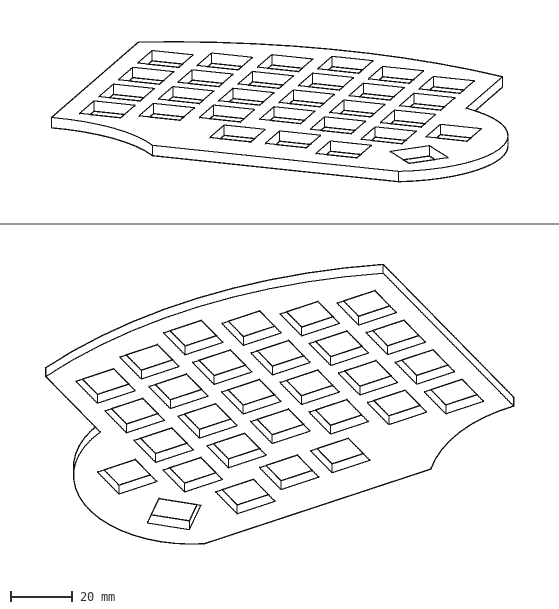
import cadquery as cq
import math

thickness = 3.5
total_width = 147.9
edge_margin = 14.2

key_size = 14.0
column_count = 6
row_count = 4
column_span = 95.0
pitch = column_span / (column_count - 1)
first_row_y = 31.5
small_step = 3.8
large_step = 4.7
column_shifts = [
    0,
    small_step,
    small_step + large_step,
    small_step + 2 * large_step,
    small_step + large_step,
    small_step,
]
tallest_column = column_shifts.index(max(column_shifts))

thumb_column = 2
first_thumb_x = 62.4
diamond_centre = (125.3, 19.2, 0)
diamond_angle = 45

lobe_bottom_x = 125.0
lobe_top_y = 70.8
lobe_middle_y = 35.2
scoop_end_x = 40.7
scoop_radius = 50.6


def column_x(column):
    return edge_margin + column * pitch


def key_y(column, row):
    return first_row_y + column_shifts[column] + row * pitch


def column_top_edge(column):
    return key_y(column, row_count - 1) + edge_margin


def make_plate():
    last_column = column_count - 1
    body_right = column_x(last_column) + edge_margin
    left_bottom_y = first_row_y - edge_margin

    chord = math.hypot(scoop_end_x, left_bottom_y)
    scoop_depth = scoop_radius - math.sqrt(scoop_radius**2 - (chord / 2) ** 2)
    scoop_middle = (
        scoop_end_x / 2 + scoop_depth * left_bottom_y / chord,
        left_bottom_y / 2 + scoop_depth * scoop_end_x / chord,
    )

    return (
        cq.Workplane("XY")
        .moveTo(scoop_end_x, 0)
        .lineTo(lobe_bottom_x, 0)
        .threePointArc((total_width, lobe_middle_y), (body_right, lobe_top_y))
        .lineTo(body_right, column_top_edge(last_column))
        .threePointArc(
            (column_x(tallest_column), column_top_edge(tallest_column)),
            (0, column_top_edge(0)),
        )
        .lineTo(0, left_bottom_y)
        .threePointArc(scoop_middle, (scoop_end_x, 0))
        .close()
        .extrude(thickness)
    )


def key_hole(centre, angle=0):
    hole = cq.Workplane("XY").rect(key_size, key_size).extrude(thickness)
    return hole.rotate((0, 0, 0), (0, 0, 1), angle).translate(centre)


grid_centres = [
    (column_x(column), key_y(column, row), 0)
    for column in range(column_count)
    for row in range(row_count)
]

thumb_y = key_y(thumb_column, 0) - pitch
thumb_centres = [
    (first_thumb_x, thumb_y, 0),
    (first_thumb_x + pitch, thumb_y, 0),
    (first_thumb_x + 2 * pitch, thumb_y - large_step, 0),
]

lobe_key_centre = (column_x(column_count), key_y(column_count - 1, 0) + pitch / 2, 0)

result = make_plate()
for centre in grid_centres + thumb_centres + [lobe_key_centre]:
    result = result.cut(key_hole(centre))
result = result.cut(key_hole(diamond_centre, diamond_angle))